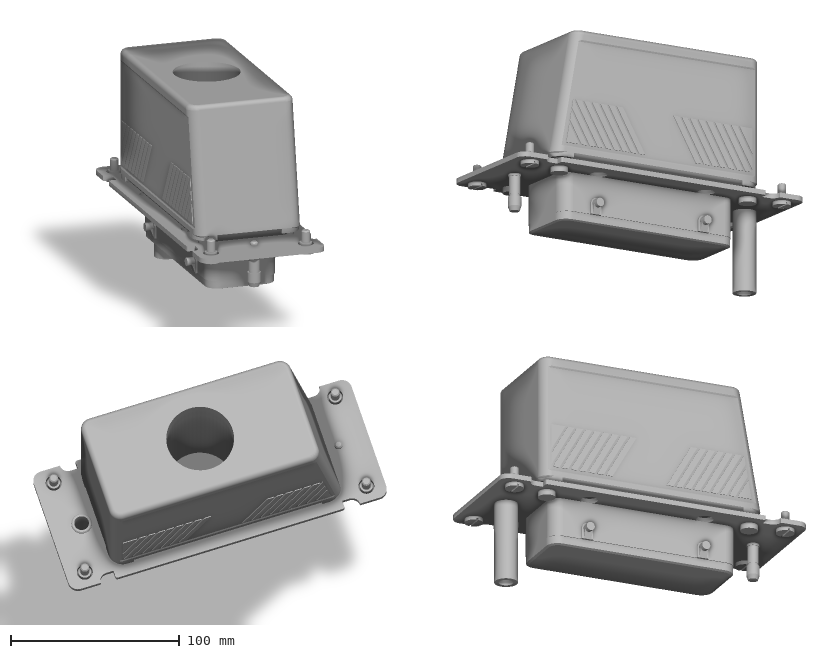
import cadquery as cq
import math


plate_length = 198.0
plate_width = 78.0
plate_thickness = 3.0
plate_corner_radius = 6.0
notch_radius = 5.0
notch_start_x = 80.8
notch_wall_x = 71.3
notch_lip_radius = 1.2
plate_hole_diameter = 10.5
plate_hole_x = 37.5
plate_hole_y = 25.7

hood_left = -71.3
hood_right_bottom = 72.3
hood_right_top = 58.5
hood_bottom = 8.5
hood_top = 85.1
hood_width = 66.5
hood_corner_radius = 6.5
hood_top_radius = 3.0
cable_hole_diameter = 40.2
cable_hole_x = -6.1

panel_bottom = 12.7
panel_top = 77.6
panel_depth = 0.5
panel_bevel = 1.0
stripe_bottom = 14.5
stripe_top = 41.4
stripe_width = 4.2
stripe_pitch = 5.7
stripe_angle = 30.0
stripes_per_block = 9
stripes_left_limit = -65.1
stripes_right_limit_bottom = 64.4
stripes_right_limit_top = 59.5
left_block_end = -25.7
right_block_start = 9.5

foot_bottom = 5.5
foot_size = 13.0
foot_corner_radius = 9.0
neck_diameter = 6.0
boss_diameter = 10.5
boss_x = 65.5
boss_y = 27.0
boss_bottom = -3.4

insert_length = 120.2
insert_width = 44.0
insert_tip_width = 42.8
insert_corner_radius = 7.3
insert_seam = -23.8
insert_bottom = -29.1
insert_edge_height = 0.5
insert_edge_inset = 1.8

peg_x = 37.5
peg_z = -17.2
peg_diameter = 5.1
peg_reach = 28.0
peg_root = 19.8
pad_width = 7.1
pad_reach = 23.2
gusset_width = 4.8
gusset_reach = 25.7
gusset_step_reach = 24.5

screw_x = 87.7
screw_y = 29.7
screw_diameter = 5.1
screw_top = 11.3
screw_chamfer = 0.7
screw_hole_diameter = 9.5
collar_diameter = 7.5
collar_top = 4.0
head_diameter = 11.0
head_height = 2.4
slot_width = 1.2
slot_depth = 1.2

tube_x = -80.0
tube_diameter = 14.0
tube_bore = 8.7
tube_bottom = -50.0
tube_collar_diameter = 12.3
tube_collar_top = 4.2
tube_collar_chamfer = 0.5
pin_x = 80.0
pin_top = 5.0
pin_chamfer = 0.8
pin_stem_radius = 2.4
pin_flange_radius = 3.8
pin_flange_bottom = -1.4
pin_shaft_radius = 3.4
pin_shaft_bottom = -12.5
pin_neck_radius = 3.2
pin_head_top = -13.9
pin_head_radius = 4.0
pin_taper_top = -19.8
pin_tip_radius = 3.0
pin_bottom = -22.5


def cylinder(x, y, bottom, top, diameter):
    """Vertical cylinder between two heights."""
    return cq.Workplane("XY", origin=(x, y, bottom)).circle(diameter / 2).extrude(top - bottom)


def box(x_range, y_range, z_range):
    """Box given by its limits along each axis."""
    sizes = [end - start for start, end in (x_range, y_range, z_range)]
    corner = (x_range[0], y_range[0], z_range[0])
    return cq.Workplane("XY").box(*sizes, centered=False).translate(corner)


def four_corners(part):
    """Copies of a part mirrored into all four quadrants, joined."""
    pair = part.union(part.mirror("XZ"))
    return pair.union(pair.mirror("YZ"))


def make_plate():
    """Flange plate with rounded corners and two notches in each long edge."""
    half_width = plate_width / 2
    plate = (
        cq.Workplane("XY")
        .rect(plate_length, plate_width)
        .extrude(plate_thickness)
        .edges("|Z")
        .fillet(plate_corner_radius)
    )
    arc_offset = notch_radius * math.sqrt(0.5)
    notch = (
        cq.Workplane("XY")
        .moveTo(notch_start_x, half_width)
        .threePointArc(
            (notch_start_x - notch_radius + arc_offset, half_width - arc_offset),
            (notch_start_x - notch_radius, half_width - notch_radius),
        )
        .lineTo(notch_wall_x, half_width - notch_radius)
        .lineTo(notch_wall_x, half_width)
        .close()
        .extrude(plate_thickness)
    )
    plate = plate.cut(four_corners(notch))

    for side in (-1, 1):
        for end in (-1, 1):
            lip = cq.selectors.NearestToPointSelector(
                (end * notch_wall_x, side * half_width, plate_thickness / 2)
            )
            plate = plate.edges("|Z").edges(lip).fillet(notch_lip_radius)

    for x, y, diameter in (
        (screw_x, screw_y, screw_hole_diameter),
        (plate_hole_x, plate_hole_y, plate_hole_diameter),
    ):
        plate = plate.cut(four_corners(cylinder(x, y, 0, plate_thickness, diameter)))
    return plate


def make_hood_block():
    """Hood outline with a slanted right end and rounded corners."""
    return (
        cq.Workplane("XZ")
        .polyline([
            (hood_left, hood_bottom),
            (hood_right_bottom, hood_bottom),
            (hood_right_top, hood_top),
            (hood_left, hood_top),
        ])
        .close()
        .extrude(hood_width / 2, both=True)
        .edges("not(#Z or |Y)")
        .fillet(hood_corner_radius)
    )


def make_stripes():
    """Two blocks of slanted stripes, clipped at both ends, at full hood width."""
    height = stripe_top - stripe_bottom
    lean = height * math.tan(math.radians(stripe_angle))
    last = stripes_per_block - 1
    left_starts = [left_block_end - stripe_width - i * stripe_pitch for i in range(last)]
    right_starts = [right_block_start + i * stripe_pitch for i in range(last)]
    spans = [(start, start + stripe_width) for start in left_starts + right_starts]

    spans.append((-plate_length, left_block_end - last * stripe_pitch))
    spans.append((right_block_start + last * stripe_pitch, plate_length))

    limits = (
        cq.Workplane("XZ")
        .polyline([
            (stripes_left_limit, stripe_bottom),
            (stripes_right_limit_bottom, stripe_bottom),
            (stripes_right_limit_top, stripe_top),
            (stripes_left_limit, stripe_top),
        ])
        .close()
        .extrude(hood_width / 2, both=True)
    )
    stripes = cq.Workplane("XZ")
    for start, end in spans:
        stripes = (
            stripes.moveTo(start, stripe_bottom)
            .lineTo(end, stripe_bottom)
            .lineTo(end + lean, stripe_top)
            .lineTo(start + lean, stripe_top)
            .close()
        )
    return stripes.extrude(hood_width / 2, both=True).intersect(limits)


def make_panel_cutter():
    """Full-length recess with bevelled long edges, for the front side."""
    face_y = -hood_width / 2
    return (
        cq.Workplane("YZ", origin=(-plate_length / 2, 0, 0))
        .polyline([
            (face_y, panel_bottom - panel_bevel),
            (face_y + panel_depth, panel_bottom),
            (face_y + panel_depth, panel_top),
            (face_y, panel_top + panel_bevel),
        ])
        .close()
        .extrude(plate_length)
    )


def make_hood():
    """Hood with side panels, stripes, cable hole, corner feet and skirt."""
    hood = make_hood_block().faces(">Z").edges().fillet(hood_top_radius)
    panel = make_panel_cutter().cut(make_stripes())
    hood = hood.cut(panel).cut(panel.mirror("XZ"))
    hood = hood.cut(cylinder(cable_hole_x, 0, hood_bottom, hood_top, cable_hole_diameter))

    feet = (
        cq.Workplane("XY", origin=((hood_left + hood_right_bottom) / 2, 0, foot_bottom))
        .rect(hood_right_bottom - hood_left, hood_width)
        .extrude(hood_bottom - foot_bottom)
        .edges("|Z")
        .fillet(foot_corner_radius)
    )
    reach = plate_length / 2
    foot_inner_y = hood_width / 2 - foot_size
    between_ends = (hood_left + foot_size, hood_right_bottom - foot_size)
    between_sides = (-foot_inner_y, foot_inner_y)
    foot_heights = (foot_bottom, hood_bottom)
    feet = feet.cut(box(between_ends, (-reach, reach), foot_heights))
    feet = feet.cut(box((-reach, reach), between_sides, foot_heights))

    skirt_height = hood_bottom - plate_thickness
    skirt = (
        make_hood_block()
        .faces("<Z")
        .wires()
        .toPending()
        .workplane()
        .extrude(skirt_height, taper=45, combine=False)
    )
    return hood.union(feet).union(skirt)


def make_insert():
    """Rounded contact insert with a slightly narrower tip."""
    def block(width, bottom, top):
        return (
            cq.Workplane("XY", origin=(0, 0, bottom))
            .rect(insert_length, width)
            .extrude(top - bottom)
            .edges("|Z")
            .fillet(insert_corner_radius)
        )

    tip = block(insert_tip_width, insert_bottom, insert_seam)
    tip = tip.faces("<Z").edges().chamfer(insert_edge_height, insert_edge_inset)
    return block(insert_width, insert_seam, 0).union(tip)


def make_peg():
    """Locking peg on the front side, with its arched pad and supporting gusset."""
    def outward(diameter, reach):
        start = cq.Workplane("XZ", origin=(peg_x, -peg_root, peg_z))
        return start.circle(diameter / 2).extrude(reach - peg_root)

    pad = outward(pad_width, pad_reach).union(box(
        (peg_x - pad_width / 2, peg_x + pad_width / 2), (-pad_reach, -peg_root), (insert_seam, peg_z)
    ))
    gusset = (
        cq.Workplane("YZ", origin=(peg_x - gusset_width / 2, 0, 0))
        .polyline([
            (-peg_root, peg_z),
            (-gusset_reach, peg_z),
            (-gusset_step_reach, peg_z - peg_diameter / 2),
            (-pad_reach, insert_seam),
            (-peg_root, insert_seam),
        ])
        .close()
        .extrude(gusset_width)
    )
    return outward(peg_diameter, peg_reach).union(pad).union(gusset)


def make_screw():
    """Fixing screw with a collar above the plate and a slotted head below it."""
    shaft = cylinder(screw_x, screw_y, -head_height, screw_top, screw_diameter)
    shaft = shaft.faces(">Z").chamfer(screw_chamfer)
    collar = cylinder(screw_x, screw_y, -head_height, collar_top, collar_diameter)
    head = cylinder(screw_x, screw_y, -head_height, 0, head_diameter)
    slot = box(
        (screw_x - slot_width / 2, screw_x + slot_width / 2),
        (screw_y - head_diameter, screw_y + head_diameter),
        (-head_height, slot_depth - head_height),
    )
    return shaft.union(collar).union(head).cut(slot)


def make_tube():
    """Guide tube whose slimmer collar passes through the plate."""
    tube = cylinder(tube_x, 0, tube_bottom, 0, tube_diameter)
    collar = cylinder(tube_x, 0, 0, tube_collar_top, tube_collar_diameter)
    collar = collar.faces(">Z").chamfer(tube_collar_chamfer)
    return tube.union(collar)


def make_pin():
    """Guide pin turned about its own axis: flange, shaft, neck and tapered head."""
    outline = [
        (0, pin_top),
        (pin_stem_radius - pin_chamfer, pin_top),
        (pin_stem_radius, pin_top - pin_chamfer),
        (pin_stem_radius, 0),
        (pin_flange_radius, 0),
        (pin_flange_radius, pin_flange_bottom),
        (pin_shaft_radius, pin_flange_bottom),
        (pin_shaft_radius, pin_shaft_bottom),
        (pin_neck_radius, pin_shaft_bottom),
        (pin_neck_radius, pin_head_top),
        (pin_head_radius, pin_head_top),
        (pin_head_radius, pin_taper_top),
        (pin_tip_radius, pin_bottom),
        (0, pin_bottom),
    ]
    return (
        cq.Workplane("XZ")
        .polyline(outline)
        .close()
        .revolve(360, (0, 0, 0), (0, 1, 0))
        .translate((pin_x, 0, 0))
    )


bosses = four_corners(cylinder(boss_x, boss_y, boss_bottom, 0, boss_diameter))
necks = four_corners(cylinder(boss_x, boss_y, 0, hood_bottom, neck_diameter))

result = (
    make_plate()
    .union(make_hood())
    .union(make_insert())
    .union(bosses)
    .union(necks)
    .union(four_corners(make_peg()))
    .union(four_corners(make_screw()))
    .union(make_tube())
    .union(make_pin())
    .cut(cylinder(tube_x, 0, tube_bottom, tube_collar_top, tube_bore))
)